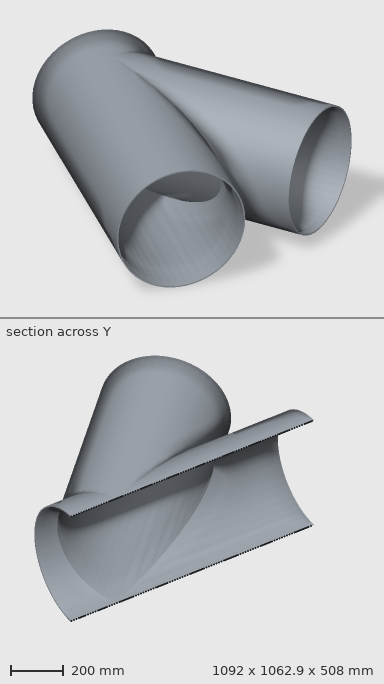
import cadquery as cq

outer_diameter = 508.0
inner_diameter = 497.0
main_length = 1092.0
branch_length = 890.0
branch_angle = 45.0
junction_offset = 203.0


def main_cylinder(diameter):
    """Solid cylinder along X, with the axis crossing at the origin."""
    return (
        cq.Workplane("YZ", origin=(-junction_offset, 0, 0))
        .circle(diameter / 2)
        .extrude(main_length)
    )


def branch_cylinder(diameter):
    """Solid cylinder from the axis crossing to the open branch end."""
    return (
        cq.Workplane("YZ")
        .circle(diameter / 2)
        .extrude(branch_length)
        .rotate((0, 0, 0), (0, 0, 1), branch_angle)
    )


def joined_cylinders(diameter):
    """Main and branch cylinders fused into one Y-shaped body."""
    return main_cylinder(diameter).union(branch_cylinder(diameter))


result = joined_cylinders(outer_diameter).cut(joined_cylinders(inner_diameter))